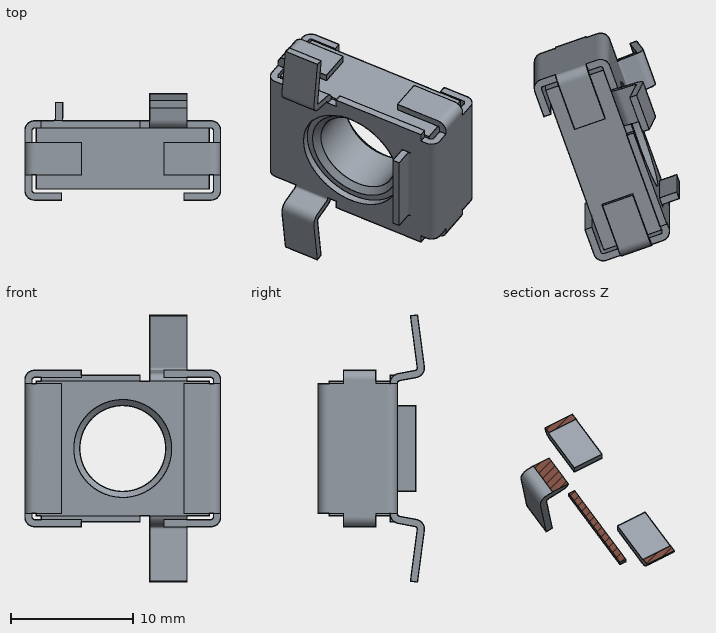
import cadquery as cq
import math


SHEET = 0.6
INNER_BEND = 0.2
OUTER_BEND = INNER_BEND + SHEET
MID_BEND = INNER_BEND + SHEET / 2

CAGE_WIDTH = 16.0
CAGE_DEPTH = 6.5
CAGE_HEIGHT = 10.6
FRONT_OPENING = 10.0

NUT_WIDTH = 14.15
NUT_THICKNESS = 5.0
NUT_HEIGHT = 11.0
BORE_DIAMETER = 7.0
BORE_CHAMFER = 0.5
NUT_MID_Y = -SHEET - NUT_THICKNESS / 2

REAR_PANEL_LEFT = -6.67
REAR_PANEL_RIGHT = 1.41
REAR_PANEL_HEIGHT = 12.0
REAR_HOLE_DIAMETER = 9.0

TAB_OUTER_HEIGHT = 12.8
TAB_WIDTH = 2.65
TAB_SPACING = 6.76

TONGUE_LEFT = -5.5
TONGUE_REACH = 1.5
TONGUE_HEIGHT = 7.0

CLIP_LEFT = 2.2
CLIP_WIDTH = 3.05
CLIP_REACH = 2.2
CLIP_OVERALL_HEIGHT = 21.84
CLIP_ARM_RISE = 10.5
CLIP_LEG_LEAN = 7.5
CLIP_BEND_Z = 5.34


def point_beside(center, heading, offset):
    """Point at a distance to the left (positive) or right (negative) of a heading in degrees."""
    angle = math.radians(heading + 90)
    return (center[0] + offset * math.cos(angle), center[1] + offset * math.sin(angle))


def bent_sheet(plane, start, heading, steps):
    """Outline of a bent sheet, traced along its mid-line from start.

    Steps are ("straight", length) or ("turn", degrees); a positive turn goes left.
    """
    half = SHEET / 2
    position = start
    left_edge = []
    right_edge = []
    left_start = point_beside(start, heading, half)
    right_start = point_beside(start, heading, -half)
    for kind, amount in steps:
        if kind == "straight":
            position = point_beside(position, heading - 90, amount)
            left_middle = None
            right_middle = None
        else:
            side = math.copysign(1, amount)
            center = point_beside(position, heading, side * MID_BEND)
            middle = heading + amount / 2
            left_middle = point_beside(center, middle, half - side * MID_BEND)
            right_middle = point_beside(center, middle, -half - side * MID_BEND)
            heading += amount
            position = point_beside(center, heading, -side * MID_BEND)
        left_edge.append((left_middle, point_beside(position, heading, half)))
        right_edge.append((right_middle, point_beside(position, heading, -half)))

    outline = cq.Workplane(plane).moveTo(*left_start)
    for middle, end in left_edge:
        outline = outline.threePointArc(middle, end) if middle else outline.lineTo(*end)
    outline = outline.lineTo(*right_edge[-1][1])
    right_ends = [right_start] + [end for _, end in right_edge[:-1]]
    for (middle, _), end in zip(reversed(right_edge), reversed(right_ends)):
        outline = outline.threePointArc(middle, end) if middle else outline.lineTo(*end)
    return outline.close()


def block(x_min, x_max, y_min, y_max, height):
    """Rectangular block centred on Z = 0."""
    center = ((x_min + x_max) / 2, (y_min + y_max) / 2, 0)
    return cq.Workplane("XY").box(x_max - x_min, y_max - y_min, height).translate(center)


def make_channel():
    """C-shaped channel: two front lips, two side walls and the rear wall."""
    lip = (CAGE_WIDTH - FRONT_OPENING) / 2 - OUTER_BEND
    side_wall = CAGE_DEPTH - 2 * OUTER_BEND
    rear_wall = CAGE_WIDTH - 2 * OUTER_BEND
    start = (FRONT_OPENING / 2, -CAGE_DEPTH + SHEET / 2)
    steps = [
        ("straight", lip),
        ("turn", 90),
        ("straight", side_wall),
        ("turn", 90),
        ("straight", rear_wall),
        ("turn", 90),
        ("straight", side_wall),
        ("turn", 90),
        ("straight", lip),
    ]
    channel = bent_sheet("XY", start, 0, steps)
    return channel.extrude(CAGE_HEIGHT / 2, both=True)


def make_rear_panel():
    return block(REAR_PANEL_LEFT, REAR_PANEL_RIGHT, -SHEET, 0, REAR_PANEL_HEIGHT)


def make_right_tab():
    """Upper right tab, starting inside the side wall and folded over the nut."""
    start = (CAGE_WIDTH / 2 - SHEET / 2, 0)
    steps = [
        ("straight", TAB_OUTER_HEIGHT / 2 - OUTER_BEND),
        ("turn", 90),
        ("straight", CAGE_WIDTH / 2 - OUTER_BEND - TAB_SPACING / 2),
    ]
    tab = bent_sheet("XZ", start, 90, steps).extrude(TAB_WIDTH / 2, both=True)
    return tab.translate((0, NUT_MID_Y, 0))


def make_tongue():
    """Tongue bent square out of the rear wall, next to its left edge."""
    bend_start_x = TONGUE_LEFT - INNER_BEND
    steps = [
        ("turn", 90),
        ("straight", TONGUE_REACH - INNER_BEND),
    ]
    tongue = bent_sheet("XY", (bend_start_x, -SHEET / 2), 0, steps)
    return tongue.extrude(TONGUE_HEIGHT / 2, both=True)


def make_upper_clip():
    """Spring clip: an arm rising rearwards, then a leg leaning back over the nut."""
    rise = math.radians(CLIP_ARM_RISE)
    lean = math.radians(CLIP_LEG_LEAN)

    bend_gap = CLIP_REACH - OUTER_BEND - INNER_BEND
    mid_line_gap = 2 * MID_BEND
    arm = (bend_gap + mid_line_gap * math.sin(rise)) / math.cos(rise)
    second_bend_z = CLIP_BEND_Z + arm * math.sin(rise) + mid_line_gap * math.cos(rise)
    leg_rise = CLIP_OVERALL_HEIGHT / 2 - second_bend_z - OUTER_BEND * math.sin(lean)

    root_z = CAGE_HEIGHT / 2 - SHEET
    steps = [
        ("straight", CLIP_BEND_Z - root_z),
        ("turn", CLIP_ARM_RISE - 90),
        ("straight", arm),
        ("turn", 90 + CLIP_LEG_LEAN - CLIP_ARM_RISE),
        ("straight", leg_rise / math.cos(lean)),
    ]
    clip = bent_sheet("YZ", (-SHEET / 2, root_z), 90, steps).extrude(CLIP_WIDTH)
    return clip.translate((CLIP_LEFT, 0, 0))


def cylinder_along_y(diameter, y_min, y_max):
    return cq.Workplane("XZ", origin=(0, y_max, 0)).circle(diameter / 2).extrude(y_max - y_min)


def make_nut():
    """Rectangular nut with its bore chamfered at both ends."""
    nut_back = -SHEET
    nut_front = nut_back - NUT_THICKNESS
    nut = block(-NUT_WIDTH / 2, NUT_WIDTH / 2, nut_front, nut_back, NUT_HEIGHT)
    nut = nut.cut(cylinder_along_y(BORE_DIAMETER, nut_front, nut_back))
    return nut.faces("<Y or >Y").edges("%CIRCLE").chamfer(BORE_CHAMFER)


cage = make_channel().union(make_rear_panel())
cage = cage.cut(cylinder_along_y(REAR_HOLE_DIAMETER, -SHEET, 0))
cage = cage.union(make_tongue())

right_tab = make_right_tab()
left_tab = right_tab.mirror("YZ")
upper_clip = make_upper_clip()
for folded_strip in (right_tab, left_tab, upper_clip):
    cage = cage.union(folded_strip)
    cage = cage.union(folded_strip.mirror("XY"))

result = cage.union(make_nut())